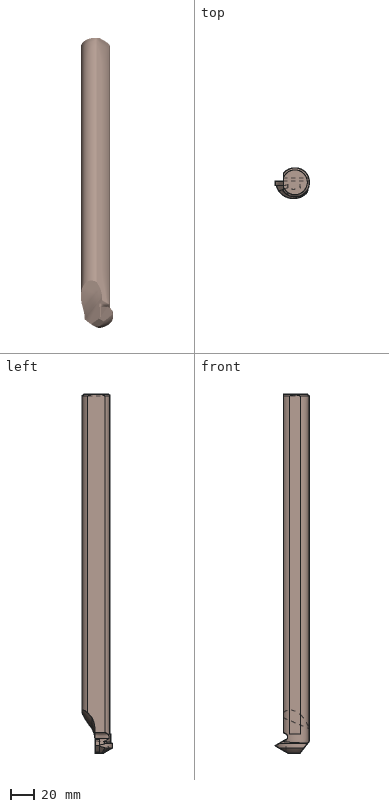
import cadquery as cq
import math


total_length = 306.8
overall_width = 29.5
overall_depth = 26.5
shank_diameter = 25.0
shank_radius = shank_diameter / 2
width_over_left_flat = 22.5
depth_over_front_flat = 24.0
left_flat_x = shank_radius - width_over_left_flat
front_flat_y = shank_radius - depth_over_front_flat
front_flat_bottom = 16.3
top_chamfer_height = 1.5
top_chamfer_width = 1.8

tip_x = shank_radius - overall_width
tip_z = 6.5
flank_angle = 30.0
flank_slope = math.tan(math.radians(flank_angle))

head_radius = 15.3
head_axis_x = -1.2
head_axis_y = shank_radius - overall_depth + head_radius
rim_half_height = 1.8
head_back_bottom = (4.3, 0.0)
head_back_top = (shank_radius, 10.5)

neck_x = -6.5
notch_radius = 2.0
notch_arc_z = 14.5

gullet_floor_y = 1.2
gullet_floor_top = 21.5
gullet_bend = (2.0, 26.0)
gullet_arc_end = (3.7, 30.5)
gullet_exit = (18.5, 47.0)
gullet_sink_angle = 23.0

insert_side = 11.0
insert_face_y = 1.0
insert_thickness = 3.7

clearance = 30.7


def along_y(outline):
    """Extrude a closed XZ outline through the whole bar along Y."""
    return outline.extrude(clearance, both=True)


def make_shank():
    shank = (
        cq.Workplane("XY")
        .workplane(offset=tip_z)
        .circle(shank_radius)
        .extrude(total_length - tip_z)
        .faces(">Z")
        .chamfer(top_chamfer_height, top_chamfer_width)
    )
    flats_height = total_length - front_flat_bottom
    left_flat = cq.Workplane("XY").box(
        clearance, 2 * clearance, flats_height, centered=(False, True, False)
    ).translate((left_flat_x - clearance, 0, front_flat_bottom))
    front_flat = cq.Workplane("XY").box(
        2 * clearance, clearance, flats_height, centered=(True, False, False)
    ).translate((0, front_flat_y - clearance, front_flat_bottom))
    return shank.cut(left_flat).cut(front_flat)


def make_head():
    """Disc with a narrow rim and conical faces at the flank angle."""
    rim_bottom = tip_z - rim_half_height
    rim_top = tip_z + rim_half_height
    bottom_radius = head_radius - rim_bottom / flank_slope
    cone_top = rim_top + head_radius * flank_slope
    disc = (
        cq.Workplane("XZ")
        .moveTo(0, 0)
        .lineTo(bottom_radius, 0)
        .lineTo(head_radius, rim_bottom)
        .lineTo(head_radius, rim_top)
        .lineTo(0, cone_top)
        .close()
        .revolve(360, (0, 0, 0), (0, 1, 0))
    )
    return disc.translate((head_axis_x, head_axis_y, 0))


def neck_notch():
    """Space above the upper flank, rounded where it turns back out to the left flat."""
    arc_x = neck_x - notch_radius
    half_turn = math.radians(90 - flank_angle) / 2
    arc_middle = (
        arc_x + notch_radius * math.cos(half_turn),
        notch_arc_z + notch_radius * math.sin(half_turn),
    )
    arc_end = (
        arc_x + notch_radius * math.cos(2 * half_turn),
        notch_arc_z + notch_radius * math.sin(2 * half_turn),
    )
    outer_x = tip_x - clearance
    return along_y(
        cq.Workplane("XZ")
        .moveTo(outer_x, tip_z)
        .lineTo(tip_x, tip_z)
        .lineTo(neck_x, tip_z + (neck_x - tip_x) * flank_slope)
        .lineTo(neck_x, notch_arc_z)
        .threePointArc(arc_middle, arc_end)
        .lineTo(outer_x, arc_end[1] + (arc_end[0] - outer_x) * flank_slope)
        .close()
    )


def lower_flank_space():
    """Space below the lower flank."""
    return along_y(
        cq.Workplane("XZ")
        .moveTo(tip_x, tip_z)
        .lineTo(tip_x + tip_z / flank_slope, 0)
        .lineTo(tip_x - clearance, 0)
        .lineTo(tip_x - clearance, tip_z)
        .close()
    )


def head_back_space():
    """Space under the slanted back of the head, on the +X side."""
    run = head_back_top[0] - head_back_bottom[0]
    rise = head_back_top[1] - head_back_bottom[1]
    end_z = rise / run * (clearance - head_back_bottom[0])
    return along_y(
        cq.Workplane("XZ")
        .moveTo(*head_back_bottom)
        .lineTo(clearance, end_z)
        .lineTo(clearance, 0)
        .close()
    )


def gullet():
    """Curved scoop, swept along X while sinking in Z."""
    start_x = left_flat_x - clearance / 2
    length = 2 * clearance
    sink_slope = math.tan(math.radians(gullet_sink_angle))
    lift = (left_flat_x - start_x) * sink_slope
    section = (
        cq.Workplane("YZ")
        .moveTo(gullet_floor_y, -clearance)
        .lineTo(gullet_floor_y, gullet_floor_top)
        .threePointArc(gullet_bend, gullet_arc_end)
        .lineTo(*gullet_exit)
        .lineTo(gullet_exit[0], -clearance)
        .close()
        .wires()
        .val()
        .translate(cq.Vector(start_x, 0, lift))
    )
    sweep = cq.Vector(length, 0, -length * sink_slope)
    return cq.Workplane(obj=cq.Solid.extrudeLinear(section, [], sweep))


def insert_prism(face_y):
    """Equilateral triangle pointing to -X, from the insert seat to face_y."""
    height = insert_side * math.cos(math.radians(flank_angle))
    seat_y = insert_face_y - insert_thickness
    return (
        cq.Workplane("XZ", origin=(0, face_y, 0))
        .moveTo(tip_x, tip_z)
        .lineTo(tip_x + height, tip_z + insert_side / 2)
        .lineTo(tip_x + height, tip_z - insert_side / 2)
        .close()
        .extrude(face_y - seat_y)
    )


def make_bar():
    bar = make_shank().union(make_head())
    bar = bar.cut(gullet())
    bar = bar.cut(neck_notch())
    bar = bar.cut(lower_flank_space())
    bar = bar.cut(head_back_space())
    return bar.cut(insert_prism(gullet_floor_y))


def make_insert():
    return insert_prism(insert_face_y)


bar = make_bar()
insert = make_insert()
result = cq.Compound.makeCompound([bar.solids().val(), insert.val()])